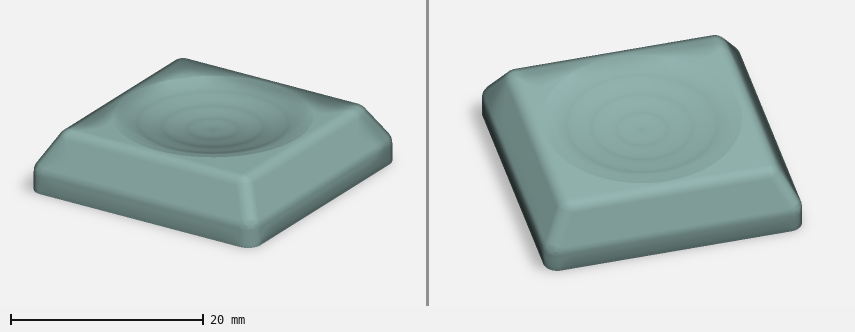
import cadquery as cq

side = 27.8
height = 6.67
wall_height = 2.5
slope_angle = 30.0
edge_radius = 1.5
dish_diameter = 20.85
dish_depth = 1.5


def make_body():
    """Square base with a tapered upper part, rounded on all but the bottom edges."""
    base = cq.Workplane("XY").box(side, side, wall_height, centered=(True, True, False))
    body = base.faces(">Z").workplane().rect(side, side).extrude(height - wall_height, taper=slope_angle)
    return body.edges("not <Z").fillet(edge_radius)


def make_dish():
    """Sphere that cuts a shallow spherical dish into the top face."""
    rim_radius = dish_diameter / 2
    sphere_radius = (rim_radius**2 + dish_depth**2) / (2 * dish_depth)
    centre_height = height - dish_depth + sphere_radius
    return cq.Workplane("XY").sphere(sphere_radius).translate((0, 0, centre_height))


result = make_body().cut(make_dish())